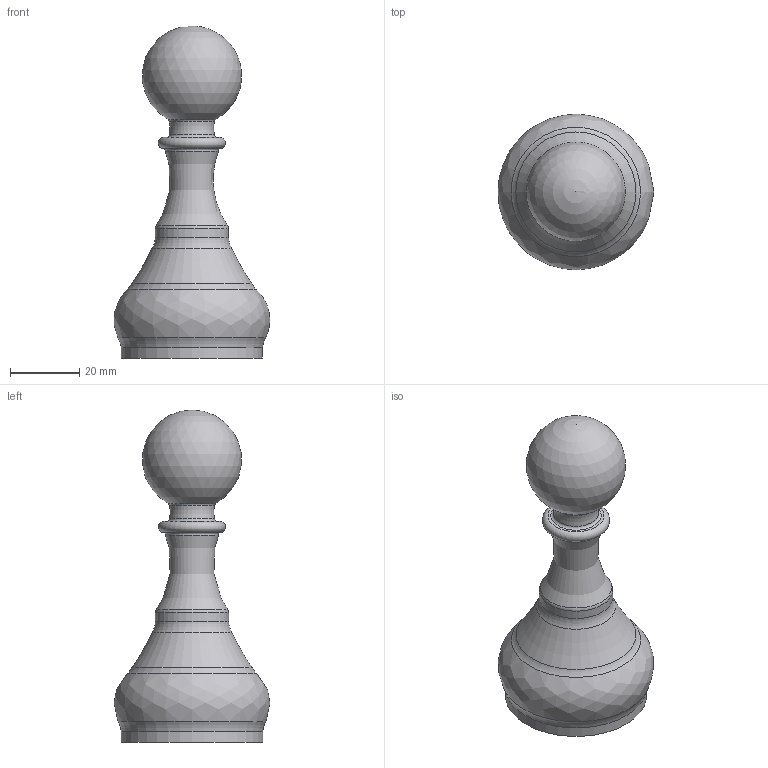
import cadquery as cq
import math


total_height = 95.7
belly_radius = 22.475

foot_radius = 20.35
foot_height = 3.0
belly_bottom = (21.3, 5.85)
foot_blend_mid = (20.7, 4.5)

belly_height = 10.98
belly_top = (18.65, 19.65)

skirt_bottom = (17.3, 21.45)
belly_blend_mid = (17.9, 20.5)
skirt_mid = (14.1, 26.5)
skirt_top = (11.5, 31.55)

waist_radius = 10.57
waist_bottom = 34.7
waist_top = 37.3
waist_blend_mid = (10.8, 33.1)
waist_round_mid = (10.5, 37.75)

stem_bottom = (10.3, 38.2)
stem_mid = (6.2, 49.5)
stem_top = (7.65, 59.6)

collar_radius = 9.67
collar_height = 61.97
collar_rounding = 1.6
collar_under_angle = math.radians(75)
collar_blend_mid = (7.9, 60.3)

neck_end_radius = 6.5
neck_mid_radius = 6.3
neck_top = 68.15
neck_foot_rounding = 0.8

head_radius = 14.35
head_blend_end_radius = 6.75
head_blend_mid_fraction = 0.25


def profile():
    """Half outline of the part in the XZ plane, as (radius, height) points."""
    collar_centre = collar_radius - collar_rounding
    collar_top = collar_height + collar_rounding
    collar_underside = (
        collar_centre + collar_rounding * math.cos(collar_under_angle),
        collar_height - collar_rounding * math.sin(collar_under_angle),
    )

    neck_foot_radius = neck_end_radius + neck_foot_rounding
    neck_bottom = collar_top + neck_foot_rounding
    neck_foot_step = neck_foot_rounding * (1 - math.cos(math.radians(45)))
    neck_foot_mid = (neck_end_radius + neck_foot_step, collar_top + neck_foot_step)

    head_centre = total_height - head_radius
    head_bottom = head_centre - math.sqrt(head_radius**2 - head_blend_end_radius**2)
    head_blend_mid = (
        neck_end_radius + head_blend_mid_fraction * (head_blend_end_radius - neck_end_radius),
        (neck_top + head_bottom) / 2,
    )

    outline = cq.Workplane("XZ").moveTo(0, 0).lineTo(foot_radius, 0)
    outline = outline.lineTo(foot_radius, foot_height)
    outline = outline.threePointArc(foot_blend_mid, belly_bottom)
    outline = outline.threePointArc((belly_radius, belly_height), belly_top)
    outline = outline.threePointArc(belly_blend_mid, skirt_bottom)
    outline = outline.threePointArc(skirt_mid, skirt_top)
    outline = outline.threePointArc(waist_blend_mid, (waist_radius, waist_bottom))
    outline = outline.lineTo(waist_radius, waist_top)
    outline = outline.threePointArc(waist_round_mid, stem_bottom)
    outline = outline.threePointArc(stem_mid, stem_top)
    outline = outline.threePointArc(collar_blend_mid, collar_underside)
    outline = outline.threePointArc((collar_radius, collar_height), (collar_centre, collar_top))
    outline = outline.lineTo(neck_foot_radius, collar_top)
    outline = outline.threePointArc(neck_foot_mid, (neck_end_radius, neck_bottom))
    outline = outline.threePointArc(
        (neck_mid_radius, (neck_bottom + neck_top) / 2), (neck_end_radius, neck_top)
    )
    outline = outline.threePointArc(head_blend_mid, (head_blend_end_radius, head_bottom))
    outline = outline.threePointArc((head_radius, head_centre), (0, total_height))
    return outline.close()


result = profile().revolve(360, (0, 0), (0, 1))